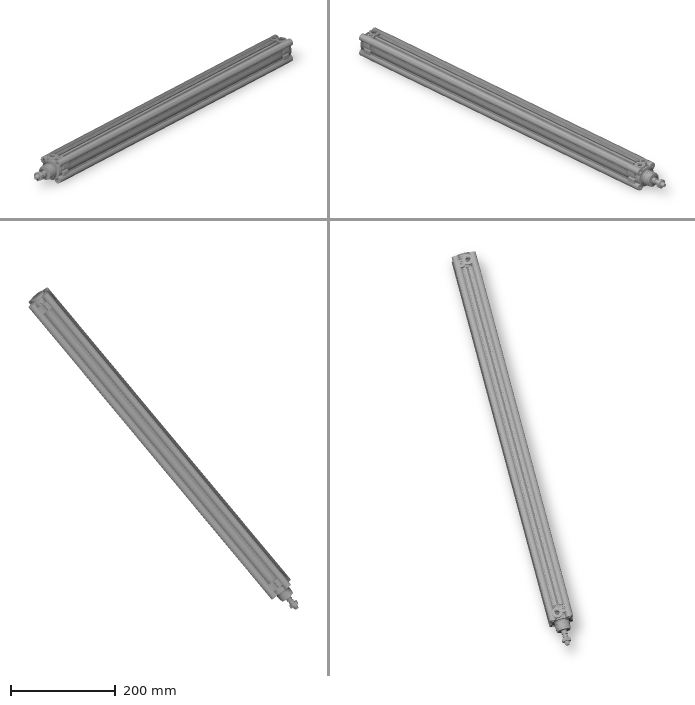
import cadquery as cq
import math


TOTAL_LENGTH = 796.0
TIP_Y = -TOTAL_LENGTH / 2
THREAD_LENGTH = 22.0
ROD_EXTENSION = 26.0
REAR_BOSS_HEIGHT = 4.0
CAP_LENGTH = 27.0
SHOULDER_Y = TIP_Y + THREAD_LENGTH
FRONT_FACE_Y = SHOULDER_Y + ROD_EXTENSION
REAR_FACE_Y = -TIP_Y - REAR_BOSS_HEIGHT
BARREL_FRONT_Y = FRONT_FACE_Y + CAP_LENGTH
BARREL_REAR_Y = REAR_FACE_Y - CAP_LENGTH
BARREL_LENGTH = BARREL_REAR_Y - BARREL_FRONT_Y

WIDTH = 47.0
HALF_WIDTH = WIDTH / 2
LOBE_RADIUS = 7.0
LOBE_OFFSET = HALF_WIDTH - LOBE_RADIUS

PLAIN_SIDE_ANGLES = (0, 90, -90)

TUBE_RADIUS = 19.0
RIDGE_INSET = 1.8
RIDGE_HALF_WIDTH = HALF_WIDTH - RIDGE_INSET
WALL_HALF_WIDTH = 20.0
CHANNEL_WIDTH = 17.0
RAIL_WIDTH = 15.0
RAIL_TOP = 22.0
SLOT_MOUTH = 4.0
SLOT_WIDTH = 10.0
SLOT_LIP = 2.0
SLOT_DEPTH = 5.5
STRIP_SEAT_WIDTH = 9.0
STRIP_SEAT_DEPTH = 1.0

CORE_RADIUS = 20.0
SIDE_PAD_WIDTH = 23.0
SIDE_PAD_TOP = 22.0
SIDE_PAD_LENGTH = 16.0
GROOVE_RADIUS = 3.0
GROOVE_LENGTH = 21.5
MOUNT_HOLE_DIAMETER = 6.0
MOUNT_HOLE_DEPTH = 12.0

TOP_PAD_HEIGHT = HALF_WIDTH
PORT_PAD_DIAMETER = 21.0
PORT_SEAT_DIAMETER = 12.0
PORT_SEAT_DEPTH = 1.5
PORT_DIAMETER = 9.0
PORT_DEPTH = 8.0
PORT_OFFSET_X = 5.0
PORT_INSET = 13.0
SCREW_PAD_DIAMETER = 14.0
SCREW_DIAMETER = 7.9
SCREW_DEPTH = 2.0
SOCKET_DIAMETER = 3.5
SOCKET_DEPTH = 1.5
SCREW_OFFSET_X = -9.0
SCREW_INSET = 17.5

BOSS_DIAMETER = 30.0
COLLAR_LENGTH = 19.0
COLLAR_BASE_LENGTH = 1.5
COLLAR_DIAMETER = 29.0
COLLAR_NOSE_DIAMETER = 27.0
COLLAR_NOSE_LENGTH = 3.0
RING_THICKNESS = 1.0
RING_INSET = 7.0

ROD_DIAMETER = 12.0
THREAD_DIAMETER = 10.0
UNDERCUT_DIAMETER = 9.0
UNDERCUT_LENGTH = 3.0
TIP_DIAMETER = 7.0
TIP_CHAMFER_LENGTH = 5.0
FLAT_WIDTH = 10.0
FLAT_LENGTH = 3.0
FLAT_INSET = 1.5

NUT_WIDTH = 17.0
NUT_THICKNESS = 6.0
NUT_INSET = 7.0
NUT_CORNER_DIAMETER = NUT_WIDTH / math.cos(math.pi / 6)
NUT_CHAMFER_ANGLE = math.radians(30)


def section_plane(y):
    """XZ plane at y whose extrusions run toward +Y, with local y along +Z and local x along -X."""
    return cq.Workplane(cq.Plane(origin=(0, y, 0), xDir=(-1, 0, 0), normal=(0, 1, 0)))


def disc(y, diameter, length):
    return section_plane(y).circle(diameter / 2).extrude(length)


def lobe_points():
    return [(x, z) for x in (-LOBE_OFFSET, LOBE_OFFSET) for z in (-LOBE_OFFSET, LOBE_OFFSET)]


def lobes(y, length):
    return section_plane(y).pushPoints(lobe_points()).circle(LOBE_RADIUS).extrude(length)


def box(width, y_start, length, z_bottom, z_top):
    """Block centred on x = 0."""
    base = cq.Workplane("XY", origin=(0, y_start, z_bottom))
    return base.box(width, length, z_top - z_bottom, centered=(True, False, False))


def top_groove(width, upper, lower):
    """Groove along the barrel between two depths below the rail top."""
    return box(width, BARREL_FRONT_Y, BARREL_LENGTH, RAIL_TOP - lower, RAIL_TOP - upper)


def corner_ridges():
    """Small pointed ridges on the outer corners of the four barrel lobes."""
    ridge_width = RIDGE_HALF_WIDTH - LOBE_OFFSET
    middle = (RIDGE_HALF_WIDTH + LOBE_OFFSET) / 2
    corners = [(x, z) for x in (-middle, middle) for z in (-middle, middle)]
    ridges = section_plane(BARREL_FRONT_Y).pushPoints(corners).rect(ridge_width, ridge_width)
    return ridges.extrude(BARREL_LENGTH)


def make_barrel():
    """Lobed profile with a channel on each plain side and a T-slot rail along the top."""
    wall_width = 2 * WALL_HALF_WIDTH
    body = box(wall_width, BARREL_FRONT_Y, BARREL_LENGTH, -WALL_HALF_WIDTH, WALL_HALF_WIDTH)
    channel = box(CHANNEL_WIDTH, BARREL_FRONT_Y, BARREL_LENGTH, -WALL_HALF_WIDTH, 0)
    for angle in PLAIN_SIDE_ANGLES:
        body = body.cut(channel.rotate((0, 0, 0), (0, 1, 0), angle))
    body = body.union(disc(BARREL_FRONT_Y, 2 * TUBE_RADIUS, BARREL_LENGTH))
    body = body.union(lobes(BARREL_FRONT_Y, BARREL_LENGTH)).union(corner_ridges())
    body = body.union(box(RAIL_WIDTH, BARREL_FRONT_Y, BARREL_LENGTH, 0, RAIL_TOP))
    body = body.cut(top_groove(STRIP_SEAT_WIDTH, 0, STRIP_SEAT_DEPTH))
    body = body.cut(top_groove(SLOT_MOUTH, 0, SLOT_DEPTH))
    return body.cut(top_groove(SLOT_WIDTH, SLOT_LIP, SLOT_DEPTH))


def side_pad():
    """Raised pad for the -Z side of the rear cap, next to the barrel."""
    return box(SIDE_PAD_WIDTH, BARREL_REAR_Y, SIDE_PAD_LENGTH, -SIDE_PAD_TOP, 0)


def side_groove():
    """Round-bottomed groove along the -Z pad, with a ball end."""
    straight = GROOVE_LENGTH - GROOVE_RADIUS
    groove = section_plane(BARREL_REAR_Y).center(0, -SIDE_PAD_TOP).circle(GROOVE_RADIUS).extrude(straight)
    ball = cq.Workplane("XY").sphere(GROOVE_RADIUS).translate((0, BARREL_REAR_Y + straight, -SIDE_PAD_TOP))
    return groove.union(ball)


def top_cylinder(x, inset, diameter, bottom):
    """Vertical cylinder reaching the top pad face, placed from the outer face of the rear cap."""
    height = TOP_PAD_HEIGHT - bottom
    return cq.Workplane("XY", origin=(x, REAR_FACE_Y - inset, bottom)).circle(diameter / 2).extrude(height)


def make_cap_body():
    """Cap with its pads, port, cushion screw and mounting holes, placed at the rear end."""
    cap = disc(BARREL_REAR_Y, 2 * CORE_RADIUS, CAP_LENGTH)
    cap = cap.union(lobes(BARREL_REAR_Y, CAP_LENGTH))
    for angle in PLAIN_SIDE_ANGLES:
        cap = cap.union(side_pad().rotate((0, 0, 0), (0, 1, 0), angle))
    for angle in PLAIN_SIDE_ANGLES:
        cap = cap.cut(side_groove().rotate((0, 0, 0), (0, 1, 0), angle))

    cap = cap.union(top_cylinder(PORT_OFFSET_X, PORT_INSET, PORT_PAD_DIAMETER, 0))
    cap = cap.union(top_cylinder(SCREW_OFFSET_X, SCREW_INSET, SCREW_PAD_DIAMETER, 0))
    screw_floor = TOP_PAD_HEIGHT - SCREW_DEPTH
    seat_floor = TOP_PAD_HEIGHT - PORT_SEAT_DEPTH
    cap = cap.cut(top_cylinder(PORT_OFFSET_X, PORT_INSET, PORT_SEAT_DIAMETER, seat_floor))
    cap = cap.cut(top_cylinder(PORT_OFFSET_X, PORT_INSET, PORT_DIAMETER, TOP_PAD_HEIGHT - PORT_DEPTH))
    cap = cap.cut(top_cylinder(SCREW_OFFSET_X, SCREW_INSET, SCREW_DIAMETER, screw_floor))
    cap = cap.cut(top_cylinder(SCREW_OFFSET_X, SCREW_INSET, SOCKET_DIAMETER, screw_floor - SOCKET_DEPTH))

    holes = section_plane(REAR_FACE_Y - MOUNT_HOLE_DEPTH).pushPoints(lobe_points())
    return cap.cut(holes.circle(MOUNT_HOLE_DIAMETER / 2).extrude(MOUNT_HOLE_DEPTH))


def make_rear_cap():
    return make_cap_body().union(disc(REAR_FACE_Y, BOSS_DIAMETER, REAR_BOSS_HEIGHT))


def make_front_cap():
    """Cap body turned half a turn about Z, with a ringed guide collar bored for the rod."""
    middle_y = (FRONT_FACE_Y + REAR_FACE_Y) / 2
    cap = make_cap_body().rotate((0, middle_y, 0), (0, middle_y, 1), 180)
    collar_y = FRONT_FACE_Y - COLLAR_LENGTH
    nose = disc(collar_y, COLLAR_NOSE_DIAMETER, COLLAR_NOSE_LENGTH)
    collar = disc(collar_y + COLLAR_NOSE_LENGTH, COLLAR_DIAMETER, COLLAR_LENGTH - COLLAR_NOSE_LENGTH)
    ring = disc(FRONT_FACE_Y - RING_INSET, BOSS_DIAMETER, RING_THICKNESS)
    base = disc(FRONT_FACE_Y - COLLAR_BASE_LENGTH, BOSS_DIAMETER, COLLAR_BASE_LENGTH)
    bore = disc(collar_y, ROD_DIAMETER, COLLAR_LENGTH + CAP_LENGTH)
    return cap.union(collar).union(nose).union(base).union(ring).cut(bore)


def make_rod():
    """Rod with wrench flats facing +X and -X, a thread undercut and a chamfered thread."""
    rod = disc(SHOULDER_Y, ROD_DIAMETER, BARREL_FRONT_Y - SHOULDER_Y)
    flat_y = SHOULDER_Y + FLAT_INSET
    ring = disc(flat_y, ROD_DIAMETER, FLAT_LENGTH)
    kept = box(FLAT_WIDTH, flat_y, FLAT_LENGTH, -ROD_DIAMETER, ROD_DIAMETER)
    rod = rod.cut(ring.cut(kept))
    undercut = disc(SHOULDER_Y - UNDERCUT_LENGTH, UNDERCUT_DIAMETER, UNDERCUT_LENGTH)
    thread = disc(TIP_Y, THREAD_DIAMETER, THREAD_LENGTH - UNDERCUT_LENGTH)
    tip_drop = (THREAD_DIAMETER - TIP_DIAMETER) / 2
    thread = thread.faces("<Y").chamfer(TIP_CHAMFER_LENGTH, tip_drop)
    return rod.union(undercut).union(thread)


def make_nut():
    """Hex nut with two corners on the Z axis and both faces chamfered at the corners."""
    nut_y = TIP_Y + NUT_INSET
    hexagon = section_plane(nut_y).transformed(rotate=(0, 0, 90)).polygon(6, NUT_CORNER_DIAMETER)
    hexagon = hexagon.extrude(NUT_THICKNESS)
    drop = (NUT_CORNER_DIAMETER - NUT_WIDTH) / 2
    rise = drop * math.tan(NUT_CHAMFER_ANGLE)
    envelope = disc(nut_y, NUT_CORNER_DIAMETER, NUT_THICKNESS).faces("<Y or >Y").chamfer(rise, drop)
    return hexagon.intersect(envelope).cut(disc(nut_y, THREAD_DIAMETER, NUT_THICKNESS))


barrel = make_barrel()
rear_cap = make_rear_cap()
front_cap = make_front_cap()
rod = make_rod()
nut = make_nut()

bodies = [barrel, rear_cap, front_cap, rod, nut]
result = cq.Compound.makeCompound([body.solids().val() for body in bodies])